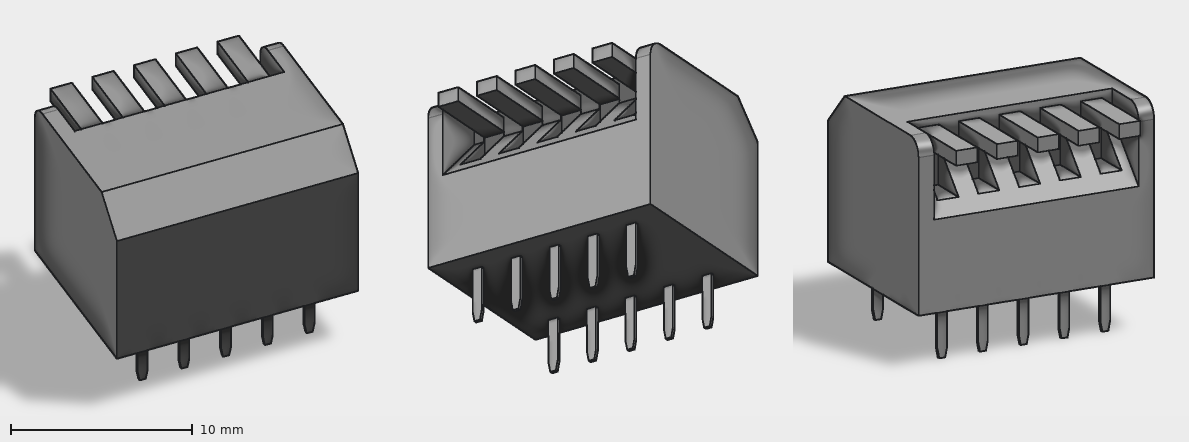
import cadquery as cq


length = 14.65
depth = 10.8
height = 10.2
front_radius = 1.0
back_chamfer = 2.0

recess_length = 12.72
recess_depth = 3.16
floor_drop_front = 4.76
floor_drop_back = 1.61

switch_count = 5
pitch = 2.53
lever_width = 1.3
lever_height = 0.86
lever_overhang = 1.4
lever_drop = 0.45
slot_drop = 3.97
slot_back_step = 0.07

pin_length = 3.21
pin_width = 0.6
pin_thickness = 0.2
pin_tip_width = 0.37
pin_tip_length = 0.59
row_spacing = 7.62

lever_bottom = height - lever_drop - lever_height
switch_positions = [(i - (switch_count - 1) / 2) * pitch for i in range(switch_count)]
row_positions = [(depth - row_spacing) / 2, (depth + row_spacing) / 2]


def make_housing():
    block = cq.Workplane("XY").box(depth, length, height, centered=(False, True, False))
    rounded = block.edges("<X and >Z").fillet(front_radius)
    return rounded.edges(">X and >Z").chamfer(back_chamfer)


def make_recess():
    return (
        cq.Workplane("XZ")
        .moveTo(0, height - floor_drop_front)
        .lineTo(recess_depth, height - floor_drop_back)
        .lineTo(recess_depth, height)
        .lineTo(0, height)
        .close()
        .extrude(recess_length / 2, both=True)
    )


def make_slot(y):
    """Level-floored pocket below a lever, set slightly deeper than the back wall of the recess."""
    return (
        cq.Workplane("XY", origin=(0, y, height - slot_drop))
        .box(recess_depth + slot_back_step, lever_width, lever_bottom - height + slot_drop,
             centered=(False, True, False))
    )


def make_lever(y):
    """Bar that projects from the back wall of the recess past the front face."""
    return (
        cq.Workplane("XY", origin=(-lever_overhang, y, lever_bottom))
        .box(lever_overhang + recess_depth, lever_width, lever_height, centered=(False, True, False))
    )


def make_pin(x, y):
    """Flat pin below the housing, narrowed at its tip."""
    return (
        cq.Workplane("YZ", origin=(x, y, 0))
        .moveTo(-pin_width / 2, 0)
        .lineTo(pin_width / 2, 0)
        .lineTo(pin_width / 2, pin_tip_length - pin_length)
        .lineTo(pin_tip_width / 2, -pin_length)
        .lineTo(-pin_tip_width / 2, -pin_length)
        .lineTo(-pin_width / 2, pin_tip_length - pin_length)
        .close()
        .extrude(pin_thickness / 2, both=True)
    )


result = make_housing().cut(make_recess())
for y in switch_positions:
    result = result.cut(make_slot(y)).union(make_lever(y))
    for x in row_positions:
        result = result.union(make_pin(x, y))